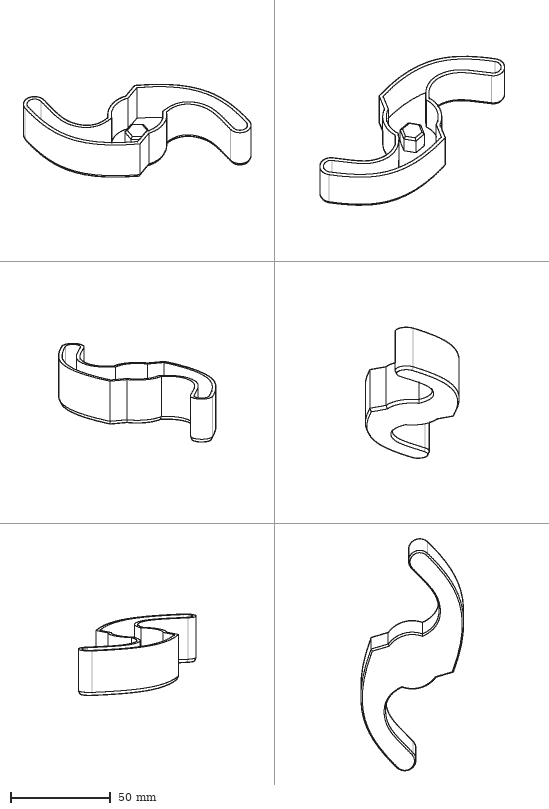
import cadquery as cq
import math

height = 22.8
wall = 1.8
floor_thickness = 1.8
chamfer_height = 1.7
chamfer_inset = 0.8

hub_radius = 14.8
side_x = 11.8
shoulder_y = 18.0
back_apex = (23.4, 32.2)
hook_apex = (24.2, 21.1)
tip_center = (48.4, 18.8)
tip_radius = 5.6
back_start_angle = 37
back_end_angle = 62
hook_end_angle = 243.5
hook_foot_angle = 262

post_across_flats = 10.8
post_top = 12.0
post_chamfer = 1.1


def polar(center, radius, degrees):
    angle = math.radians(degrees)
    return (center[0] + radius * math.cos(angle), center[1] + radius * math.sin(angle))


def direction(degrees):
    return polar((0, 0), 1, degrees)


def half_turn(point):
    return (-point[0], -point[1])


def unchanged(point):
    return point


def add_half(sketch, inset, place):
    """Trace one arm from its shoulder to the opposite shoulder, moved inward by inset."""
    inner_side_x = side_x - inset
    inner_hub_radius = hub_radius - inset
    inner_tip_radius = tip_radius - inset
    hub_y = math.sqrt(inner_hub_radius**2 - inner_side_x**2)
    apex_back = (back_apex[0], back_apex[1] - inset)
    apex_hook = (hook_apex[0], hook_apex[1] + inset)
    back_end = polar(tip_center, inner_tip_radius, back_end_angle)
    hook_end = polar(tip_center, inner_tip_radius, hook_end_angle)
    tip_middle = polar(tip_center, inner_tip_radius, (back_end_angle + hook_end_angle - 360) / 2)

    back_tangents = [direction(back_start_angle), direction(back_end_angle - 90)]
    hook_tangents = [direction(hook_end_angle - 90), direction(hook_foot_angle)]
    return (
        sketch.spline(
            [place(apex_back), place(back_end)],
            tangents=[place(tangent) for tangent in back_tangents],
            includeCurrent=True,
        )
        .threePointArc(place(tip_middle), place(hook_end))
        .spline(
            [place(apex_hook), place((inner_side_x, hub_y))],
            tangents=[place(tangent) for tangent in hook_tangents],
            includeCurrent=True,
        )
        .threePointArc(place((inner_hub_radius, 0)), place((inner_side_x, -hub_y)))
        .lineTo(*place(half_turn(shoulder(inset))))
    )


def shoulder(inset):
    """Corner between the straight side and the start of the back curve."""
    slope = math.radians(back_start_angle)
    drop = inset * (1 / math.cos(slope) - math.tan(slope))
    return (-side_x + inset, shoulder_y - drop)


def outline(z, inset):
    sketch = cq.Workplane("XY", origin=(0, 0, z)).moveTo(*shoulder(inset))
    sketch = add_half(sketch, inset, unchanged)
    return add_half(sketch, inset, half_turn).close()


def make_shell():
    base_edge = outline(0, chamfer_inset).val()
    wall_edge = outline(chamfer_height, 0).val()
    base = cq.Workplane(cq.Solid.makeLoft([base_edge, wall_edge], True))
    walls = outline(chamfer_height, 0).extrude(height - chamfer_height)
    cavity = outline(floor_thickness, wall).extrude(height - floor_thickness)
    return base.union(walls).cut(cavity)


def make_post():
    corner_diameter = post_across_flats / math.cos(math.pi / 6)
    return (
        cq.Workplane("XY")
        .polygon(6, corner_diameter)
        .extrude(post_top)
        .rotate((0, 0, 0), (0, 0, 1), 30)
        .faces(">Z")
        .chamfer(post_chamfer)
    )


result = make_shell().union(make_post())